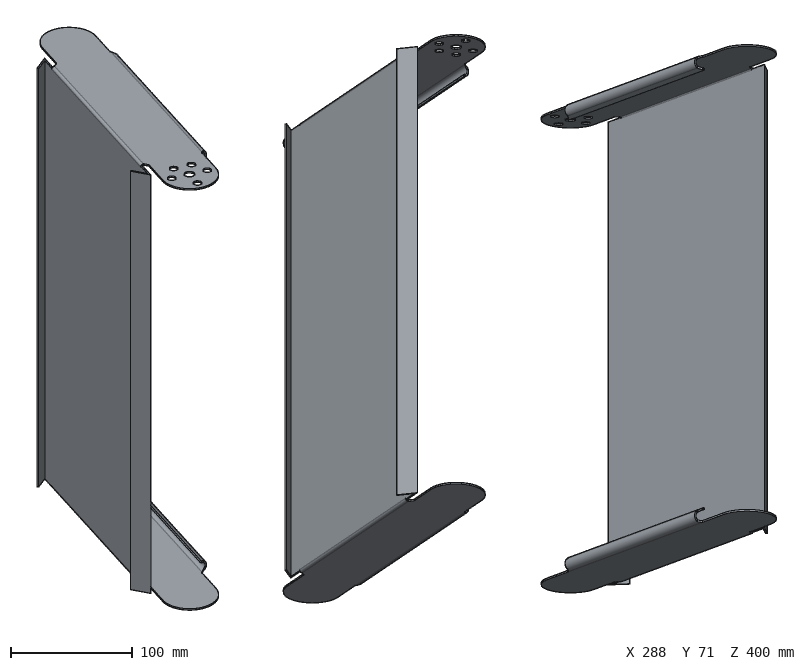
import cadquery as cq
import math

height = 400.0
thickness = 1.5

plate_length = 288.0
plate_width = 48.0
end_radius = plate_width / 2
end_center_x = plate_length / 2 - end_radius

front_bend_width = 177.5
hem_width = 176.0
corner_taper = 3.0
bend_blank_width = front_bend_width + 2 * corner_taper
front_face_y = -30.0
front_bend_radius = 2.5
front_bend_y = front_face_y + front_bend_radius

hem_radius = 5.5
hem_back_y = 30.0
hem_bend_y = hem_back_y - hem_radius
hem_turn = math.radians(60)
hem_lip_length = 4.5

panel_width = 212.0
panel_height = height - 2 * thickness
lip_front_y = -41.0
lip_angle = math.radians(45)

center_hole_diameter = 9.0
small_hole_diameter = 7.0
hole_circle_radius = 16.0
hole_angles = (0, 90, 150, 210, 270)


def make_plate():
    """Upper plate: a rounded strip with its middle reaching to both bends."""
    strip = cq.Workplane("XY").slot2D(plate_length, plate_width).extrude(thickness)
    middle = (
        cq.Workplane("XY")
        .center(0, (front_bend_y + hem_bend_y) / 2)
        .rect(bend_blank_width, hem_bend_y - front_bend_y)
        .extrude(thickness)
    )
    return strip.union(middle).translate((0, 0, height - thickness))


def taper_bend_ends(end):
    """Trim the bends in plan: a 45 degree taper at the plate edge, then straight sides."""
    edge_y = plate_width / 2
    trim_depth = hem_back_y - edge_y
    for bend_width, y_side in ((hem_width, 1), (front_bend_width, -1)):
        for x_side in (-1, 1):
            x = x_side * bend_width / 2
            outer_x = x_side * bend_blank_width
            y = y_side * edge_y
            trim = (
                cq.Workplane("XY")
                .moveTo(x + x_side * corner_taper, y)
                .lineTo(x, y + y_side * corner_taper)
                .lineTo(x, y + y_side * trim_depth)
                .lineTo(outer_x, y + y_side * trim_depth)
                .lineTo(outer_x, y)
                .close()
                .extrude(height)
            )
            end = end.cut(trim)
    return end


def make_holes():
    """Cutters for the center hole and the ring of small holes."""
    ring = [
        (hole_circle_radius * math.cos(math.radians(a)), hole_circle_radius * math.sin(math.radians(a)))
        for a in hole_angles
    ]
    pattern = cq.Workplane("XY", origin=(end_center_x, 0, height - thickness))
    center_hole = pattern.circle(center_hole_diameter / 2).extrude(thickness)
    return center_hole.union(pattern.pushPoints(ring).circle(small_hole_diameter / 2).extrude(thickness))


def make_front_bend():
    """Quarter-round bend joining the upper plate to the panel."""
    inner_radius = front_bend_radius - thickness
    center_z = height - front_bend_radius
    diagonal = math.sqrt(0.5)
    return (
        cq.Workplane("YZ", origin=(-bend_blank_width / 2, 0, 0))
        .moveTo(front_bend_y, height)
        .threePointArc(
            (front_bend_y - front_bend_radius * diagonal, center_z + front_bend_radius * diagonal),
            (front_face_y, center_z),
        )
        .lineTo(front_face_y + thickness, center_z)
        .threePointArc(
            (front_bend_y - inner_radius * diagonal, center_z + inner_radius * diagonal),
            (front_bend_y, height - thickness),
        )
        .close()
        .extrude(bend_blank_width)
    )


def make_hem():
    """Rear hem: a curl past vertical, ending in a short straight lip."""
    inner_radius = hem_radius - thickness
    center_z = height - hem_radius

    def curl_point(radius, lip=0.0):
        return (
            hem_bend_y + radius * math.cos(hem_turn) - lip * math.sin(hem_turn),
            center_z - radius * math.sin(hem_turn) - lip * math.cos(hem_turn),
        )

    return (
        cq.Workplane("YZ", origin=(-bend_blank_width / 2, 0, 0))
        .moveTo(hem_bend_y, height)
        .threePointArc((hem_back_y, center_z), curl_point(hem_radius))
        .lineTo(*curl_point(hem_radius, hem_lip_length))
        .lineTo(*curl_point(inner_radius, hem_lip_length))
        .lineTo(*curl_point(inner_radius))
        .threePointArc((hem_back_y - thickness, center_z), (hem_bend_y, height - thickness))
        .close()
        .extrude(bend_blank_width)
    )


def make_panel():
    """Panel with lips folded forward and inward at each side."""
    rear_y = front_face_y + thickness
    half_width = panel_width / 2
    lip_run = (rear_y - lip_front_y) / math.tan(lip_angle)
    tip_x = half_width - lip_run
    inner_corner_x = half_width - thickness / math.tan(lip_angle / 2)
    end_x = tip_x - thickness * math.sin(lip_angle)
    end_y = lip_front_y + thickness * math.cos(lip_angle)
    right_half = [
        (half_width, rear_y),
        (tip_x, lip_front_y),
        (end_x, end_y),
        (inner_corner_x, front_face_y),
    ]
    left_half = [(-x, y) for x, y in reversed(right_half)]
    return (
        cq.Workplane("XY", origin=(0, 0, thickness))
        .polyline(right_half + left_half)
        .close()
        .extrude(panel_height)
    )


def trim_bend_corners(panel):
    """Clear the panel's middle edge so that the rounded bends show."""
    for z in (thickness, height - front_bend_radius):
        strip = cq.Workplane("XY").box(
            front_bend_width, thickness, front_bend_radius - thickness, centered=(True, False, False)
        )
        panel = panel.cut(strip.translate((0, front_face_y, z)))
    return panel


plain_end = taper_bend_ends(make_plate().union(make_front_bend()).union(make_hem()))
lower_end = plain_end.mirror("XY").translate((0, 0, height))
upper_end = plain_end.cut(make_holes())

result = trim_bend_corners(make_panel()).union(upper_end).union(lower_end)